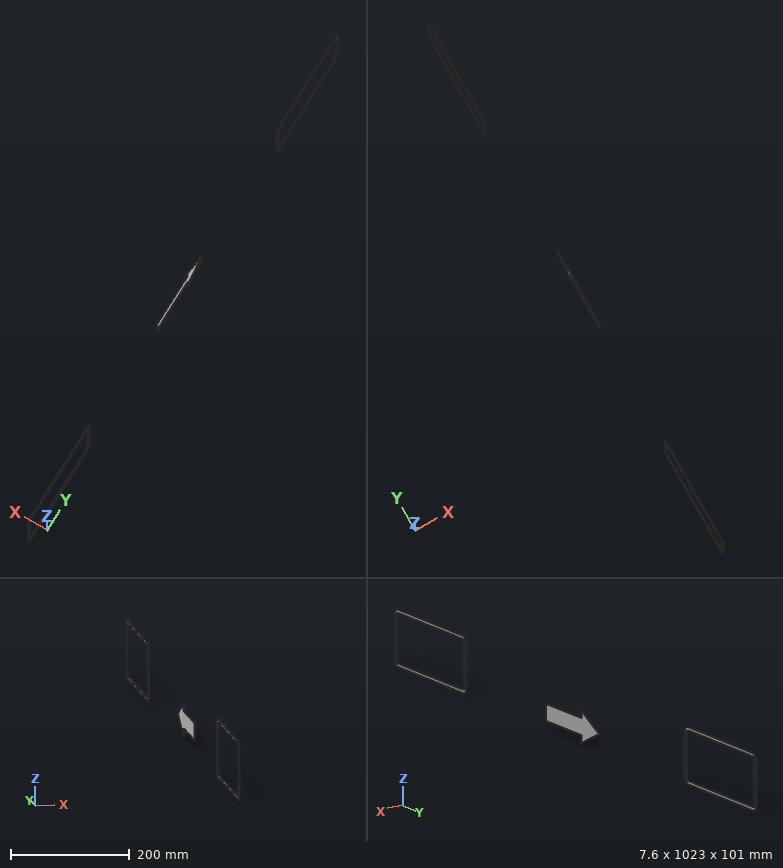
import cadquery as cq

TOTAL_LENGTH = 1023.0
TOTAL_DEPTH = 7.6

FRAME_LENGTH = 203.0
FRAME_HEIGHT = 101.0
FRAME_BAR = 6.0
FRAME_THICKNESS = 1.5
FRAME_CORNER_RADIUS = 9.0
FRAME_OFFSET = (TOTAL_LENGTH - FRAME_LENGTH) / 2

ARROW_LENGTH = 151.0
ARROW_HEAD_LENGTH = 50.0
ARROW_HEAD_HEIGHT = 57.0
ARROW_SHAFT_HEIGHT = 31.0
ARROW_THICKNESS = 1.5
ARROW_CENTER_Z = -FRAME_HEIGHT / 2 + ARROW_HEAD_HEIGHT / 2
ARROW_START_X = TOTAL_DEPTH - ARROW_THICKNESS


def make_frame(center_y):
    """Rounded rectangular ring standing in the YZ plane."""
    plate = (
        cq.Workplane("YZ")
        .center(center_y, 0)
        .rect(FRAME_LENGTH, FRAME_HEIGHT)
        .extrude(FRAME_THICKNESS)
        .edges("|X")
        .fillet(FRAME_CORNER_RADIUS)
    )
    opening = (
        cq.Workplane("YZ")
        .center(center_y, 0)
        .rect(FRAME_LENGTH - 2 * FRAME_BAR, FRAME_HEIGHT - 2 * FRAME_BAR)
        .extrude(FRAME_THICKNESS)
        .edges("|X")
        .fillet(FRAME_CORNER_RADIUS - FRAME_BAR)
    )
    return plate.cut(opening)


def make_arrow():
    """Flat arrow, offset behind the frames along X."""
    tip_y = ARROW_LENGTH / 2
    tail_y = -tip_y
    barb_y = tip_y - ARROW_HEAD_LENGTH
    half_shaft = ARROW_SHAFT_HEIGHT / 2
    half_head = ARROW_HEAD_HEIGHT / 2
    outline = [
        (tip_y, 0),
        (barb_y, half_head),
        (barb_y, half_shaft),
        (tail_y, half_shaft),
        (tail_y, -half_shaft),
        (barb_y, -half_shaft),
        (barb_y, -half_head),
    ]
    return (
        cq.Workplane("YZ", origin=(ARROW_START_X, 0, ARROW_CENTER_Z))
        .polyline(outline)
        .close()
        .extrude(ARROW_THICKNESS)
    )


frames = [make_frame(side * FRAME_OFFSET) for side in (-1, 1)]
arrow = make_arrow()

result = cq.Compound.makeCompound([*[frame.val() for frame in frames], arrow.val()])